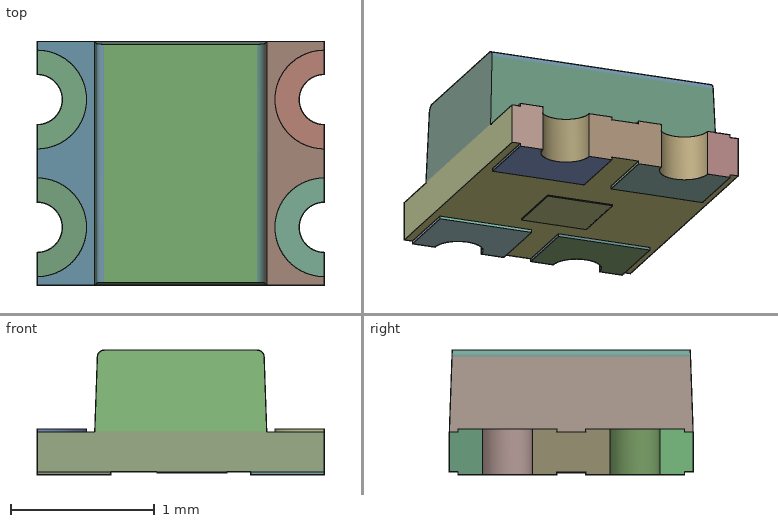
import cadquery as cq
import math

board_length = 2.0
board_width = 1.7
board_thickness = 0.28
foil_thickness = 0.02
total_height = 0.87

board_bottom = foil_thickness
board_top = board_bottom + board_thickness

body_length = 1.2
body_height = total_height - board_top
draft_angle = 2.0
body_edge_radius = 0.05

notch_pitch = 0.89
notch_radius = 0.175
pad_radius = 0.345
bottom_pad_length = 0.515

mark_side = 0.488
mark_thickness = 0.008
mark_offset = 0.078

notch_centres = [
    (end * board_length / 2, side * notch_pitch / 2)
    for end in (-1, 1)
    for side in (-1, 1)
]


def make_board():
    return (
        cq.Workplane("XY", origin=(0, 0, board_bottom))
        .rect(board_length, board_width)
        .extrude(board_thickness)
    )


def make_body():
    body = (
        cq.Workplane("XY", origin=(0, 0, board_top))
        .rect(body_length, board_width)
        .extrude(body_height, taper=draft_angle)
    )
    return body.faces(">Z").edges("|Y").fillet(body_edge_radius)


def make_top_pads():
    """Half discs on the board, cut off flush with its ends."""
    discs = (
        cq.Workplane("XY", origin=(0, 0, board_top))
        .pushPoints(notch_centres)
        .circle(pad_radius)
        .extrude(foil_thickness)
    )
    board_area = (
        cq.Workplane("XY", origin=(0, 0, board_top))
        .rect(board_length, board_width)
        .extrude(foil_thickness)
    )
    return discs.intersect(board_area)


def make_bottom_pads():
    """Rectangles under the board, reaching inward from its ends."""
    pad_offset = (board_length - bottom_pad_length) / 2
    pad_centres = [(math.copysign(pad_offset, x), y) for x, y in notch_centres]
    return (
        cq.Workplane("XY")
        .pushPoints(pad_centres)
        .rect(bottom_pad_length, 2 * pad_radius)
        .extrude(foil_thickness)
    )


def make_mark():
    return (
        cq.Workplane("XY", origin=(0, 0, board_bottom - mark_thickness))
        .center(mark_offset, 0)
        .rect(mark_side, mark_side)
        .extrude(mark_thickness)
    )


def make_notches():
    """Cylinders that pass through the board and both layers of pads."""
    return (
        cq.Workplane("XY")
        .pushPoints(notch_centres)
        .circle(notch_radius)
        .extrude(board_top + foil_thickness)
    )


result = (
    make_board()
    .union(make_body())
    .union(make_top_pads())
    .union(make_bottom_pads())
    .union(make_mark())
    .cut(make_notches())
)